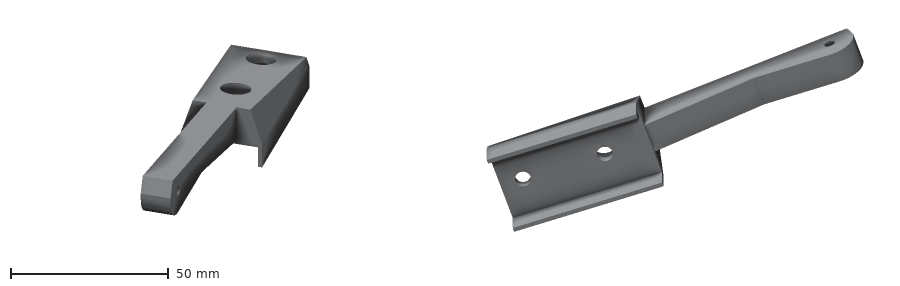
import cadquery as cq
import math

length = 120.0
height = 33.5
base_width = 27.0
base_length = 50.0

side_height = 8.5
back_height = 11.5
front_top_width = 19.2
tip_setback = 2.0
top_slope = (height - back_height) / (length - tip_setback)
front_height = back_height + top_slope * base_length

wall = 1.5
channel_depth = 7.2

arm_width = 10.0
arm_bottom = 18.4
arm_bend = 86.8
end_radius = 7.9
pivot_diameter = 3.5
pivot_y = end_radius - length
pivot_z = arm_bottom + end_radius
tip_start_z = 28.1

screw_diameter = 5.0
head_diameter = 10.0
seat_top = 12.5
screw_positions = (7.5, 35.0)


def make_base():
    """Tapered block, running forward from the back face."""
    half_base = base_width / 2
    half_top = front_top_width / 2
    return (
        cq.Workplane("XZ")
        .polyline([
            (-half_base, 0),
            (half_base, 0),
            (half_base, side_height),
            (half_top, front_height),
            (-half_top, front_height),
            (-half_base, side_height),
        ])
        .close()
        .extrude(base_length)
    )


def make_space_above_slope():
    """Material above the sloped top of the base."""
    return (
        cq.Workplane("YZ")
        .moveTo(0, back_height)
        .lineTo(0, height)
        .lineTo(-base_length, height)
        .lineTo(-base_length, front_height)
        .close()
        .extrude(base_width, both=True)
    )


def make_arm():
    """Arm side outline, extruded evenly about the centre plane."""
    diagonal_offset = end_radius * math.sqrt(0.5)
    arc_middle = (pivot_y - diagonal_offset, pivot_z - diagonal_offset)
    outline = (
        cq.Workplane("YZ")
        .moveTo(-base_length, front_height)
        .lineTo(-base_length, side_height)
        .lineTo(-arm_bend, arm_bottom)
        .lineTo(pivot_y, arm_bottom)
        .threePointArc(arc_middle, (-length, pivot_z))
        .lineTo(-length, tip_start_z)
        .lineTo(tip_setback - length, height)
        .close()
    )
    pivot_hole = (
        cq.Workplane("YZ")
        .center(pivot_y, pivot_z)
        .circle(pivot_diameter / 2)
        .extrude(arm_width, both=True)
    )
    return outline.extrude(arm_width / 2, both=True).cut(pivot_hole)


def make_channel():
    """Open-ended channel between the two side walls."""
    return cq.Workplane("XY").box(
        base_width - 2 * wall, base_length, channel_depth, centered=(True, False, False)
    ).translate((0, -base_length, 0))


def make_screw_hole(distance_from_back):
    """Vertical through hole with a conical seat below a straight bore for the screw head."""
    seat_bottom = seat_top - (head_diameter - screw_diameter) / 2
    head_radius = head_diameter / 2
    screw_radius = screw_diameter / 2
    return (
        cq.Workplane("XZ")
        .polyline([
            (0, 0),
            (screw_radius, 0),
            (screw_radius, seat_bottom),
            (head_radius, seat_top),
            (head_radius, height),
            (0, height),
        ])
        .close()
        .revolve(360, (0, 0), (0, 1))
        .translate((0, -distance_from_back, 0))
    )


result = make_base().cut(make_space_above_slope()).union(make_arm()).cut(make_channel())
for screw_position in screw_positions:
    result = result.cut(make_screw_hole(screw_position))